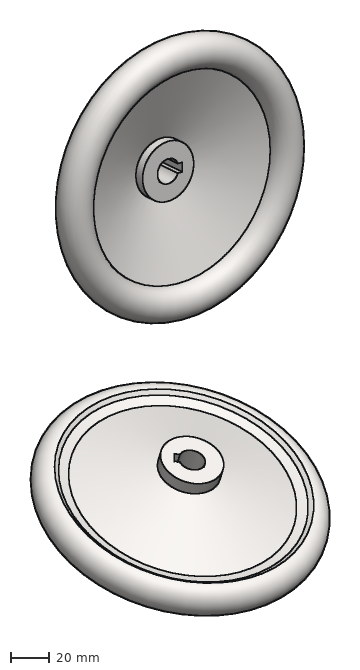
import cadquery as cq

wheel_radius = 80.0
overall_width = 40.0
rim_width = 20.0
rim_radius = rim_width / 2
rim_center_x = overall_width - rim_radius
rim_center_r = wheel_radius - rim_radius

hub_radius = 34.0 / 2
hub_length = 20.0
hub_projection = 7.7
bore_diameter = 14.0
keyway_width = 5.5
keyway_reach = 9.5

web_edge_x = 23.8
web_edge_r = 61.1
band_edge_x = 22.0
band_edge_r = 66.9
rim_edge_r = 69.5
rim_edge_x = rim_center_x - (rim_radius**2 - (rim_center_r - rim_edge_r) ** 2) ** 0.5

rim_inner_r = rim_center_r - rim_radius
web_slope = (web_edge_x - hub_projection) / (web_edge_r - hub_radius)
web_back_hub_x = rim_center_x - web_slope * (rim_inner_r - hub_radius)


def wheel_body():
    """Hub, web and rim as one revolved section, drawn as (x, radius)."""
    section = (
        cq.Workplane("XY")
        .moveTo(0, 0)
        .lineTo(0, hub_radius)
        .lineTo(hub_projection, hub_radius)
        .lineTo(web_edge_x, web_edge_r)
        .lineTo(band_edge_x, band_edge_r)
        .lineTo(rim_edge_x, rim_edge_r)
        .threePointArc((overall_width, rim_center_r), (rim_center_x, rim_inner_r))
        .lineTo(web_back_hub_x, hub_radius)
        .lineTo(hub_length, hub_radius)
        .lineTo(hub_length, 0)
        .close()
    )
    return section.revolve(360, (0, 0, 0), (1, 0, 0))


def keyed_bore():
    """Through bore with a keyway on its +Y side."""
    bore = cq.Workplane("YZ").circle(bore_diameter / 2).extrude(hub_length)
    keyway = (
        cq.Workplane("YZ")
        .center(keyway_reach / 2, 0)
        .rect(keyway_reach, keyway_width)
        .extrude(hub_length)
    )
    return bore.union(keyway)


result = wheel_body().cut(keyed_bore())